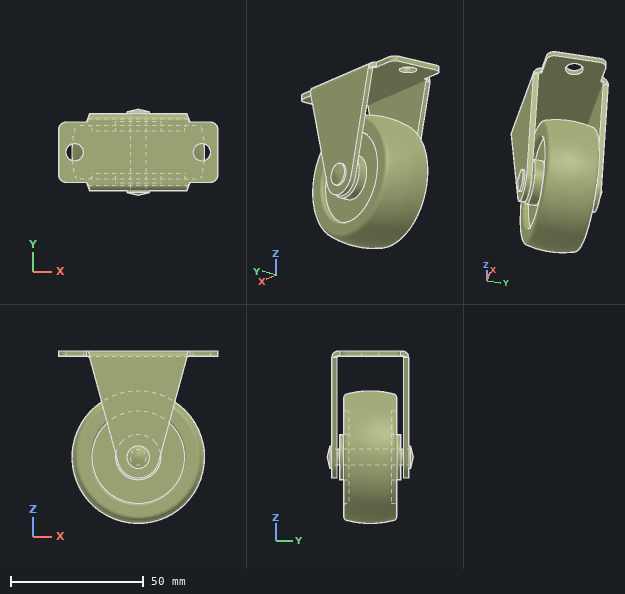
import cadquery as cq
import math


wheel_radius = 25.0
wheel_width = 20.0
crown_drop = 1.5
rim_fillet = 1.5
recess_radius = 17.4
recess_depth = 2.0
recess_rim_round = 1.0
hub_radius = 8.5
hub_length = 23.0

sheet = 2.0
bend_outer_radius = 2.5
plate_length = 60.0
plate_width = 22.9
plate_top = 40.0
plate_corner_radius = 3.0
bracket_width = 29.0
leg_end_radius = 7.85
bend_half_width = 19.5
bend_bevel_height = 0.9
leg_half_width_at_bend = 18.3
mount_hole_diameter = 6.5
mount_hole_spacing = 47.85

shank_radius = 3.0
head_radius = 4.2
head_rim = 0.7
rivet_length = 32.5

bend_bottom = plate_top - bend_outer_radius
bend_inner_radius = bend_outer_radius - sheet
bracket_half_width = bracket_width / 2
bend_axis_y = bracket_half_width - bend_outer_radius


def y_cylinder(radius, length):
    """Cylinder on the wheel axle, centred on the origin."""
    return cq.Workplane("XZ").circle(radius).extrude(length / 2, both=True)


def make_wheel():
    """Crowned wheel with a shallow recess and a raised hub on each side."""
    half_width = wheel_width / 2
    side_radius = wheel_radius - crown_drop
    tread = (
        cq.Workplane("XY")
        .moveTo(0, -half_width)
        .lineTo(side_radius, -half_width)
        .threePointArc((wheel_radius, 0), (side_radius, half_width))
        .lineTo(0, half_width)
        .close()
        .revolve(360, (0, 0, 0), (0, 1, 0))
        .faces("<Y or >Y").edges().fillet(rim_fillet)
    )
    round_start = half_width - recess_rim_round
    round_mid = recess_rim_round * (1 - math.sqrt(0.5))
    recess = (
        cq.Workplane("XY")
        .moveTo(0, half_width - recess_depth)
        .lineTo(recess_radius, half_width - recess_depth)
        .lineTo(recess_radius, round_start)
        .threePointArc(
            (recess_radius + round_mid, half_width - round_mid),
            (recess_radius + recess_rim_round, half_width),
        )
        .lineTo(0, half_width)
        .close()
        .revolve(360, (0, 0, 0), (0, 1, 0))
    )
    recessed = tread.cut(recess).cut(recess.mirror("XZ"))
    hub = y_cylinder(hub_radius, hub_length)
    return recessed.union(hub).cut(y_cylinder(shank_radius, hub_length))


def make_plate():
    """Flat mounting plate with its two screw holes."""
    plate_bottom = plate_top - sheet
    plate = (
        cq.Workplane("XY", origin=(0, 0, plate_bottom))
        .rect(plate_length, plate_width)
        .extrude(sheet)
        .edges("|Z").fillet(plate_corner_radius)
    )
    holes = (
        cq.Workplane("XY", origin=(0, 0, plate_bottom))
        .pushPoints([(-mount_hole_spacing / 2, 0), (mount_hole_spacing / 2, 0)])
        .circle(mount_hole_diameter / 2)
        .extrude(sheet)
    )
    return plate.cut(holes)


def make_bend():
    """Quarter bend on the +Y side, narrowing to the leg in plan and by a bevel underneath."""
    plate_edge = plate_width / 2
    plate_bottom = plate_top - sheet
    leg_inner_face = bracket_half_width - sheet
    middle = math.sqrt(0.5)
    strip = (
        cq.Workplane("YZ")
        .moveTo(plate_edge, plate_top)
        .lineTo(bend_axis_y, plate_top)
        .threePointArc(
            (bend_axis_y + bend_outer_radius * middle, bend_bottom + bend_outer_radius * middle),
            (bracket_half_width, bend_bottom),
        )
        .lineTo(leg_inner_face, bend_bottom)
        .threePointArc(
            (bend_axis_y + bend_inner_radius * middle, bend_bottom + bend_inner_radius * middle),
            (bend_axis_y, plate_bottom),
        )
        .lineTo(plate_edge, plate_bottom)
        .close()
        .extrude(bend_half_width, both=True)
    )
    plan = (
        cq.Workplane("XY", origin=(0, 0, bend_bottom))
        .moveTo(-bend_half_width, plate_edge)
        .lineTo(-leg_half_width_at_bend, bracket_half_width)
        .lineTo(leg_half_width_at_bend, bracket_half_width)
        .lineTo(bend_half_width, plate_edge)
        .close()
        .extrude(bend_outer_radius)
    )
    bevel_top = bend_bottom + bend_bevel_height
    bevelled = (
        cq.Workplane("XZ")
        .moveTo(-bend_half_width, plate_top)
        .lineTo(-bend_half_width, bevel_top)
        .lineTo(-leg_half_width_at_bend, bend_bottom)
        .lineTo(leg_half_width_at_bend, bend_bottom)
        .lineTo(bend_half_width, bevel_top)
        .lineTo(bend_half_width, plate_top)
        .close()
        .extrude(-bracket_half_width)
    )
    return strip.intersect(plan).intersect(bevelled)


def make_leg():
    """Flat leg on the +Y side: tapered edges tangent to a round end."""
    distance = math.hypot(leg_half_width_at_bend, bend_bottom)
    corner_angle = math.atan2(bend_bottom, leg_half_width_at_bend)
    tangent_angle = corner_angle - math.acos(leg_end_radius / distance)
    tangent_x = leg_end_radius * math.cos(tangent_angle)
    tangent_z = leg_end_radius * math.sin(tangent_angle)
    return (
        cq.Workplane("XZ", origin=(0, bracket_half_width, 0))
        .moveTo(-leg_half_width_at_bend, bend_bottom)
        .lineTo(-tangent_x, tangent_z)
        .threePointArc((0, -leg_end_radius), (tangent_x, tangent_z))
        .lineTo(leg_half_width_at_bend, bend_bottom)
        .close()
        .extrude(sheet)
    )


def make_bracket():
    """Bent sheet: a mounting plate and two tapered legs around the wheel."""
    side = make_bend().union(make_leg())
    bracket = make_plate().union(side).union(side.mirror("XZ"))
    return bracket.cut(y_cylinder(shank_radius, bracket_width))


def make_rivet():
    """Axle rivet with a conical head outside each leg."""
    tip = rivet_length / 2
    rim = bracket_half_width + head_rim
    return (
        cq.Workplane("XY")
        .moveTo(0, -tip)
        .lineTo(head_radius, -rim)
        .lineTo(head_radius, -bracket_half_width)
        .lineTo(shank_radius, -bracket_half_width)
        .lineTo(shank_radius, bracket_half_width)
        .lineTo(head_radius, bracket_half_width)
        .lineTo(head_radius, rim)
        .lineTo(0, tip)
        .close()
        .revolve(360, (0, 0, 0), (0, 1, 0))
    )


wheel = make_wheel().solids()
bracket = make_bracket().solids()
rivet = make_rivet().solids()

result = cq.Compound.makeCompound([wheel.val(), bracket.val(), rivet.val()])